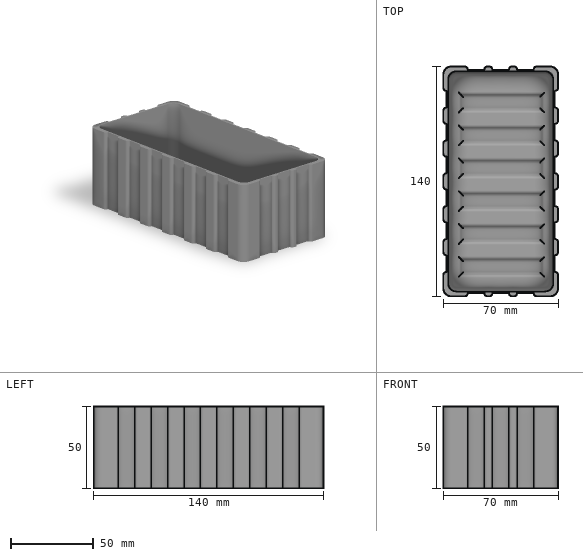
import cadquery as cq
import math

LENGTH_X = 70.0
LENGTH_Y = 140.0
HEIGHT = 50.0
OUTER_CORNER_RADIUS = 5.0

GROOVE_WIDTH = 10.0
GROOVE_DEPTH = 2.0
SIDE_GROOVE_COUNT = 6
SIDE_GROOVE_PITCH = 20.0
END_GROOVE_COUNT = 3
END_GROOVE_PITCH = 15.0

RIM_WIDTH = 3.0
FLOOR_THICKNESS = 3.0
CAVITY_CORNER_RADIUS = 5.0
CAVITY_FLOOR_RADIUS = 2.0

RECESS_COUNT = 6
RECESS_PITCH = 20.0
RECESS_ROW_OFFSET_X = 0.5
RECESS_ROW_OFFSET_Y = -2.0
RECESS_FLOOR_X = 46.0
RECESS_FLOOR_Y = 6.0
RECESS_ROUND_RADIUS = 2.0
RECESS_DEPTH = 2.0

RECESS_ARC_DROP = RECESS_DEPTH / 2
RECESS_ARC_ANGLE = math.acos(1 - RECESS_ARC_DROP / RECESS_ROUND_RADIUS)
RECESS_ARC_RUN = RECESS_ROUND_RADIUS * math.sin(RECESS_ARC_ANGLE)


def centred_positions(count, pitch):
    """Evenly spaced coordinates, symmetric about zero."""
    return [(i - (count - 1) / 2) * pitch for i in range(count)]


def groove_cutter():
    """Groove cut inward from a wall face on Y = 0, with convex lips whose radius is the groove depth."""
    half_width = GROOVE_WIDTH / 2
    lip_half_width = half_width + GROOVE_DEPTH
    lip_bend = GROOVE_DEPTH * (1 - math.sqrt(0.5))
    return (
        cq.Workplane("XY")
        .moveTo(-half_width, -GROOVE_DEPTH)
        .lineTo(half_width, -GROOVE_DEPTH)
        .threePointArc((half_width + lip_bend, -lip_bend), (lip_half_width, 0))
        .lineTo(-lip_half_width, 0)
        .threePointArc((-half_width - lip_bend, -lip_bend), (-half_width, -GROOVE_DEPTH))
        .close()
        .extrude(HEIGHT)
    )


def outer_block():
    block = cq.Workplane("XY").rect(LENGTH_X, LENGTH_Y).extrude(HEIGHT)
    return block.edges("|Z").fillet(OUTER_CORNER_RADIUS)


def main_cavity():
    """Rounded rectangular cavity, open at the top, with a fillet around its floor."""
    cavity = (
        cq.Workplane("XY")
        .workplane(offset=FLOOR_THICKNESS)
        .rect(LENGTH_X - 2 * RIM_WIDTH, LENGTH_Y - 2 * RIM_WIDTH)
        .extrude(HEIGHT - FLOOR_THICKNESS)
        .edges("|Z")
        .fillet(CAVITY_CORNER_RADIUS)
    )
    return cavity.faces("<Z").edges().fillet(CAVITY_FLOOR_RADIUS)


def recess_prism(plane, floor_length, floor_width):
    """Prism with the S-walled recess section along one direction, as wide as the recess mouth."""
    bottom = floor_length / 2
    middle = bottom + RECESS_ARC_RUN
    top = middle + RECESS_ARC_RUN
    mouth_width = floor_width + 4 * RECESS_ARC_RUN
    bend_run = RECESS_ROUND_RADIUS * math.sin(RECESS_ARC_ANGLE / 2)
    bend_drop = RECESS_ROUND_RADIUS * (1 - math.cos(RECESS_ARC_ANGLE / 2))
    return (
        cq.Workplane(plane)
        .moveTo(-top, 0)
        .lineTo(top, 0)
        .threePointArc((top - bend_run, -bend_drop), (middle, -RECESS_ARC_DROP))
        .threePointArc((bottom + bend_run, bend_drop - RECESS_DEPTH), (bottom, -RECESS_DEPTH))
        .lineTo(-bottom, -RECESS_DEPTH)
        .threePointArc((-bottom - bend_run, bend_drop - RECESS_DEPTH), (-middle, -RECESS_ARC_DROP))
        .threePointArc((bend_run - top, -bend_drop), (-top, 0))
        .close()
        .extrude(mouth_width / 2, both=True)
    )


def floor_recess():
    """Recess hanging below Z = 0, with walls rounded at the top and the bottom and mitred corners."""
    section_along_x = recess_prism("XZ", RECESS_FLOOR_X, RECESS_FLOOR_Y)
    section_along_y = recess_prism("YZ", RECESS_FLOOR_Y, RECESS_FLOOR_X)
    return section_along_x.intersect(section_along_y)


def cut_outer_grooves(body):
    side_groove = groove_cutter().rotate((0, 0, 0), (0, 0, 1), -90)
    for y in centred_positions(SIDE_GROOVE_COUNT, SIDE_GROOVE_PITCH):
        right_groove = side_groove.translate((LENGTH_X / 2, y, 0))
        body = body.cut(right_groove).cut(right_groove.mirror("YZ"))
    for x in centred_positions(END_GROOVE_COUNT, END_GROOVE_PITCH):
        back_groove = groove_cutter().translate((x, LENGTH_Y / 2, 0))
        body = body.cut(back_groove).cut(back_groove.mirror("XZ"))
    return body


def cut_floor_recesses(body):
    recess = floor_recess().translate((RECESS_ROW_OFFSET_X, RECESS_ROW_OFFSET_Y, FLOOR_THICKNESS))
    for y in centred_positions(RECESS_COUNT, RECESS_PITCH):
        body = body.cut(recess.translate((0, y, 0)))
    return body


result = outer_block()
result = cut_outer_grooves(result)
result = result.cut(main_cavity())
result = cut_floor_recesses(result)